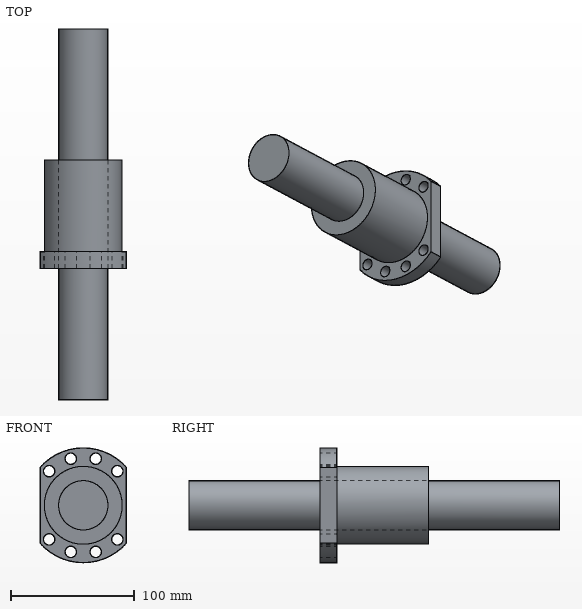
import cadquery as cq

shaft_length = 300
shaft_diameter = 40.0

sleeve_length = 88.0
sleeve_diameter = 63
front_y = -sleeve_length / 2

flange_diameter = 93
flange_width = 70.0
flange_thickness = 13.8

bolt_hole_diameter = 9
bolt_circle_diameter = 78
bolt_hole_pitch_angle = 30
bolt_holes_per_group = 4
first_hole_angles = (45, 225)


def cylinder_along_y(diameter, start_y, length):
    """Solid cylinder on the Y axis, reaching from start_y toward +Y."""
    plane = cq.Workplane("XZ", origin=(0, start_y, 0))
    return plane.circle(diameter / 2).extrude(-length)


def make_shaft():
    return cylinder_along_y(shaft_diameter, -shaft_length / 2, shaft_length)


def make_sleeve():
    """Plain tube that fits around the shaft."""
    outside = cylinder_along_y(sleeve_diameter, front_y, sleeve_length)
    bore = cylinder_along_y(shaft_diameter, front_y, sleeve_length)
    return outside.cut(bore)


def make_bolt_holes():
    """Both groups of hole cylinders, spaced evenly by angle within each group."""
    group_span = (bolt_holes_per_group - 1) * bolt_hole_pitch_angle
    holes = cq.Workplane("XZ", origin=(0, front_y, 0))
    for first_angle in first_hole_angles:
        group = (
            cq.Workplane("XZ", origin=(0, front_y, 0))
            .polarArray(bolt_circle_diameter / 2, first_angle, group_span, bolt_holes_per_group)
            .circle(bolt_hole_diameter / 2)
            .extrude(-flange_thickness)
        )
        holes = holes.add(group)
    return holes.combine()


def make_flange():
    """Round flange with two flat sides, bored to fit around the sleeve."""
    disc = cylinder_along_y(flange_diameter, front_y, flange_thickness)
    flats = (
        cq.Workplane("XZ", origin=(0, front_y, 0))
        .rect(flange_width, flange_diameter)
        .extrude(-flange_thickness)
    )
    bore = cylinder_along_y(sleeve_diameter, front_y, flange_thickness)
    return disc.intersect(flats).cut(bore).cut(make_bolt_holes())


shaft = make_shaft()
sleeve = make_sleeve()
flange = make_flange()

result = cq.Compound.makeCompound([shaft.val(), sleeve.val(), flange.val()])